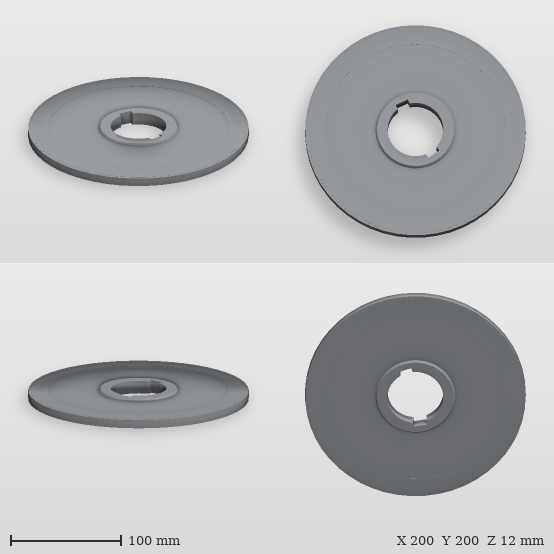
import cadquery as cq

OUTER_DIAMETER = 200.0
FACE_EDGE_DIAMETER = 199.8
TOTAL_THICKNESS = 12.0
TYRE_THICKNESS = 8.0
FACE_RISE = 0.08
EDGE_DROP = 0.2
WEB_THICKNESS = 7.5

TYRE_INNER_DIAMETER = 164.0
SLOPE_START_DIAMETER = 175.5
SLOPE_MIDDLE_DIAMETER = 185.0
RAISED_EDGE_DIAMETER = 195.2
CORE_DIAMETER = 196.6

BOSS_FOOT_DIAMETER = 72.5
BOSS_TOP_DIAMETER = 69.5
BORE_DIAMETER = 50.5
BORE_MOUTH_DIAMETER = 51.0
KEYWAY_WIDTH = 12.0
KEYWAY_REACH = 28.8
KEYWAY_CORNER_RADIUS = 0.8
TILTED_KEYWAY_ANGLE = 10.0
SQUARE_KEYWAY_ANGLE = 180.0


def revolve_mirrored(upper_points):
    """Revolve a half profile about Z after mirroring it below the middle plane."""
    lower_points = [(radius, -height) for radius, height in reversed(upper_points) if height > 0]
    profile = cq.Workplane("XZ").polyline(upper_points + lower_points).close()
    return profile.revolve(360, (0, 0, 0), (0, 1, 0))


def keyway(angle, corner_radius=0):
    """Bar from the axis to the keyway floor, turned to its angle about Z."""
    bar = cq.Workplane("XY").box(KEYWAY_REACH, KEYWAY_WIDTH, TOTAL_THICKNESS, centered=(False, True, True))
    if corner_radius > 0:
        bar = bar.edges("|Z and >X").fillet(corner_radius)
    return bar.rotate((0, 0, 0), (0, 0, 1), angle)


def bore():
    """Round bore with a 45 degree chamfer at each mouth."""
    chamfer = (BORE_MOUTH_DIAMETER - BORE_DIAMETER) / 2
    return revolve_mirrored([
        (0, TOTAL_THICKNESS / 2),
        (BORE_MOUTH_DIAMETER / 2, TOTAL_THICKNESS / 2),
        (BORE_DIAMETER / 2, TOTAL_THICKNESS / 2 - chamfer),
    ])


def make_core():
    """Web with a tapered boss on each face and a keyed bore."""
    core = revolve_mirrored([
        (0, TOTAL_THICKNESS / 2),
        (BOSS_TOP_DIAMETER / 2, TOTAL_THICKNESS / 2),
        (BOSS_FOOT_DIAMETER / 2, WEB_THICKNESS / 2),
        (CORE_DIAMETER / 2, WEB_THICKNESS / 2),
    ])
    core = core.cut(bore())
    core = core.cut(keyway(SQUARE_KEYWAY_ANGLE))
    return core.cut(keyway(TILTED_KEYWAY_ANGLE, KEYWAY_CORNER_RADIUS))


def make_tyre():
    """Ring that wraps the rim of the core and covers the outer part of both web faces."""
    raised_height = TYRE_THICKNESS / 2
    slope_start_height = raised_height - FACE_RISE
    slope_middle_height = raised_height - FACE_RISE / 2
    return revolve_mirrored([
        (CORE_DIAMETER / 2, 0),
        (CORE_DIAMETER / 2, WEB_THICKNESS / 2),
        (TYRE_INNER_DIAMETER / 2, WEB_THICKNESS / 2),
        (TYRE_INNER_DIAMETER / 2, slope_start_height),
        (SLOPE_START_DIAMETER / 2, slope_start_height),
        (SLOPE_MIDDLE_DIAMETER / 2, slope_middle_height),
        (RAISED_EDGE_DIAMETER / 2, raised_height),
        (RAISED_EDGE_DIAMETER / 2, raised_height - EDGE_DROP),
        (FACE_EDGE_DIAMETER / 2, raised_height - EDGE_DROP),
        (OUTER_DIAMETER / 2, 0),
    ])


core = make_core()
tyre = make_tyre()
result = cq.Compound.makeCompound([core.val(), tyre.val()])